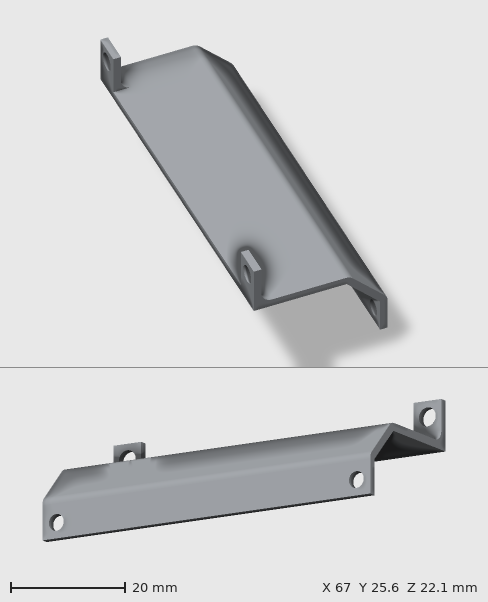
import cadquery as cq
import math

length = 67.0
depth = 25.6
height = 22.1

thickness = 1.5
shelf_bottom = 12.9
shelf_depth = 17.75
bend_angle = math.radians(45)
bend_radius = 2.0

tab_width = 5.7
hole_end_offset = tab_width / 2
hole_edge_offset = 2.9
tab_hole_diameter = 3.4
leg_hole_diameter = 3.0

shelf_top = shelf_bottom + thickness
leg_inner_y = depth - thickness
leg_inner_z = shelf_bottom - (leg_inner_y - shelf_depth) * math.tan(bend_angle)
corner_shift = thickness * math.tan(bend_angle / 2)
upper_bend = (shelf_depth + corner_shift, shelf_top)
lower_bend = (depth, upper_bend[1] - (depth - upper_bend[0]) * math.tan(bend_angle))


def make_bent_sheet():
    """Extrude the front wall, shelf, sloping web and rear leg along X."""
    section = [
        (0, height),
        (0, shelf_bottom),
        (shelf_depth, shelf_bottom),
        (leg_inner_y, leg_inner_z),
        (leg_inner_y, 0),
        (depth, 0),
        lower_bend,
        upper_bend,
        (thickness, shelf_top),
        (thickness, height),
    ]
    sheet = cq.Workplane("YZ").polyline(section).close().extrude(length)
    rounded_corners = [upper_bend, lower_bend, (thickness, shelf_top)]
    for y, z in rounded_corners:
        edge = cq.selectors.NearestToPointSelector((length / 2, y, z))
        sheet = sheet.edges(edge).fillet(bend_radius)
    return sheet


def make_notch():
    """Space between the two tabs, open above the shelf."""
    return cq.Workplane("XY").box(
        length - 2 * tab_width, thickness + bend_radius, height - shelf_top, centered=False
    ).translate((tab_width, 0, shelf_top))


def make_hole_pair(diameter, wall_y, z):
    """Two cutters through a vertical wall, one near each end."""
    return (
        cq.Workplane("XZ", origin=(0, wall_y, 0))
        .pushPoints([(hole_end_offset, z), (length - hole_end_offset, z)])
        .circle(diameter / 2)
        .extrude(-thickness)
    )


result = (
    make_bent_sheet()
    .cut(make_notch())
    .cut(make_hole_pair(tab_hole_diameter, 0, height - hole_edge_offset))
    .cut(make_hole_pair(leg_hole_diameter, leg_inner_y, hole_edge_offset))
)